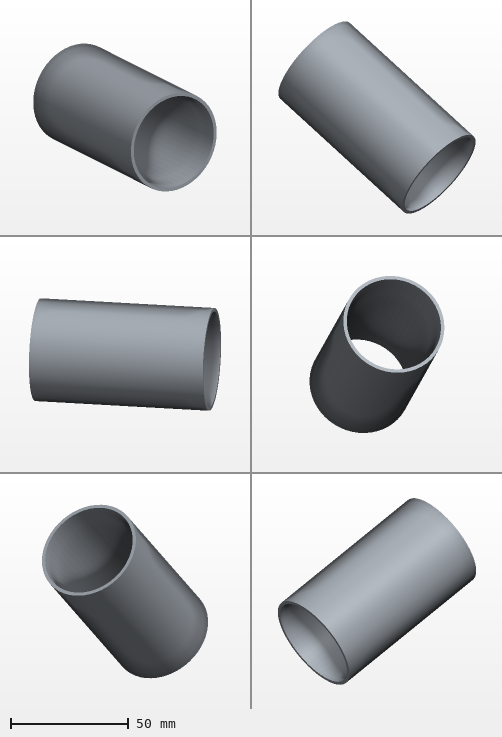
import cadquery as cq

length = 75.0
outer_diameter = 43.7
wall = 1.5

outer_radius = outer_diameter / 2
inner_radius = outer_radius - wall

result = (
    cq.Workplane("YZ", origin=(-length / 2, 0, 0))
    .circle(outer_radius)
    .circle(inner_radius)
    .extrude(length)
)